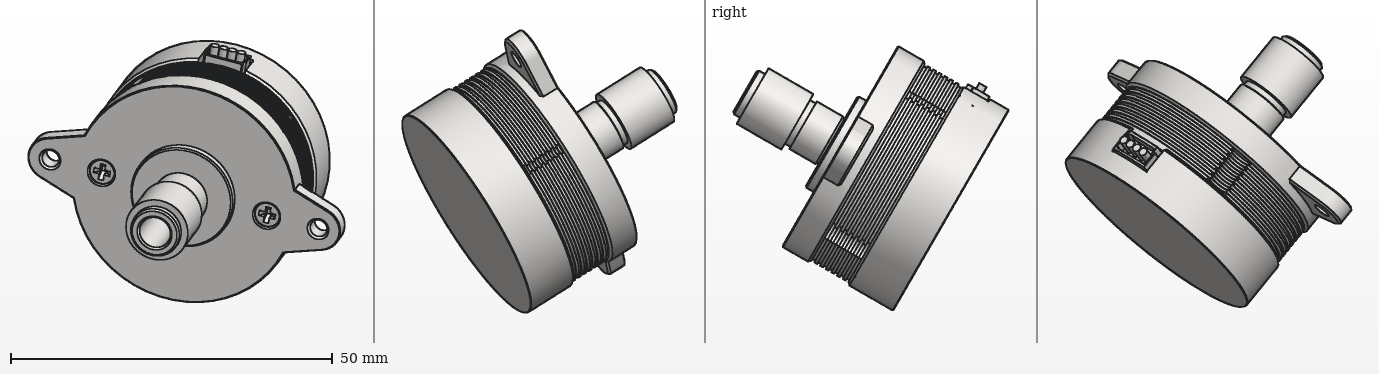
import cadquery as cq
import math

TILT_ANGLE = 60

AXIS_PLANE = cq.Plane((0, 0, 0), (0, 1, 0), (0, 0, 1))

CAP_RADIUS = 18.05
LAMINATION_RADIUS = 17.65
GROOVE_DEPTH = 0.3
CORE_RADIUS = LAMINATION_RADIUS - GROOVE_DEPTH
LAYER_COUNT = 13
LAYER_HEIGHT = 0.5
REAR_CAP_HEIGHT = 8.25
LAMINATION_HEIGHT = LAYER_COUNT * LAYER_HEIGHT
FLANGE_BACK = REAR_CAP_HEIGHT + LAMINATION_HEIGHT
FLANGE_FRONT = 19.95
JOINT_CHAMFER = CAP_RADIUS - LAMINATION_RADIUS
EDGE_CHAMFER = 0.15
REAR_EDGE_CHAMFER = 0.1

WIDE_RELIEF_RADIUS = 1.65
WIDE_RELIEF_OFFSET = 17.25
WIDE_RELIEF_ANGLE = 135
NARROW_RELIEF_RADIUS = 0.55
NARROW_RELIEF_OFFSET = LAMINATION_RADIUS
NARROW_RELIEF_ANGLE = 45

EAR_SPACING = 43.85
EAR_RADIUS = 3.55
EAR_FLANK_ANGLE = 19.3
EAR_THICKNESS = 3.1
EAR_BACK_CHAMFER = 0.35
EAR_HOLE_RADIUS = 1.4
EAR_HOLE_CHAMFER = 0.35

BOSS_RADIUS = 8.2
BOSS_HEIGHT = 1.55
BOSS_CHAMFER = 0.25

SCREW_SPACING = 27.05
SCREW_HEAD_RADIUS = 2.0
SCREW_HEAD_HEIGHT = 2.0
SCREW_HEAD_ROUND = 0.2
SCREW_RECESS = 0.3
SCREW_MOUTH_CHAMFER = 0.25
CROSS_LENGTH = 2.65
CROSS_WIDTH = 0.8
CROSS_TIP_LENGTH = 0.8
CROSS_DEPTH = 1.55

SHAFT_RADIUS = 4.3
SHAFT_BASE_CHAMFER = 0.4
SHAFT_NECK_RADIUS = SHAFT_RADIUS - SHAFT_BASE_CHAMFER
UNDERCUT_RADIUS = 3.95
PINION_RADIUS = 5.0
TIP_RADIUS = 3.95
TIP_CHAMFER = 0.3
BORE_RADIUS = 2.5
BORE_CHAMFER = 0.3
SHAFT_STEP = FLANGE_FRONT + BOSS_HEIGHT
SHAFT_END = 26.55
PINION_START = 27.6
PINION_END = 35.65
TIP_END = 37.05

POCKET_WIDTH = 7.65
POCKET_BACK = 3.4
POCKET_FRONT = 7.75
POCKET_FLOOR = 15.8

SOCKET_TOP = 18.35
SOCKET_BACK = 3.65
SOCKET_FRONT = 7.55
SOCKET_STEP = 6.55
SOCKET_WIDTH = 6.8
SOCKET_NOSE_WIDTH = 5.9
CAVITY_BACK = 4.1
CAVITY_FRONT = 7.05
CAVITY_WIDTH = 5.8
CAVITY_CHAMFER = 0.4
SIDE_SLOT_WIDTH = 6.25
SIDE_SLOT_BACK = 4.3
SIDE_SLOT_FRONT = 6.1
CAVITY_FLOOR = 16.3
PIN_COUNT = 4
PIN_PITCH = 1.45
PIN_RADIUS = 0.65
PIN_STATION = 5.45
PIN_TOP = 19.4


def disc(radius, bottom, top):
    """A cylinder on the motor axis between two stations."""
    return cq.Workplane(AXIS_PLANE).workplane(offset=bottom).circle(radius).extrude(top - bottom)


def block(width, floor, top, back, front):
    """A box centred on x = 0, from floor to top along y and back to front along z."""
    return cq.Workplane("XY").box(width, top - floor, front - back, centered=(True, False, False)).translate(
        (0, floor, back)
    )


def make_socket():
    """Connector socket: a wide shell with a narrower nose and a chamfered cavity."""
    shell = block(SOCKET_WIDTH, POCKET_FLOOR, SOCKET_TOP, SOCKET_BACK, SOCKET_STEP)
    nose = block(SOCKET_NOSE_WIDTH, POCKET_FLOOR, SOCKET_TOP, SOCKET_STEP, SOCKET_FRONT)
    cavity = block(CAVITY_WIDTH, CAVITY_FLOOR, SOCKET_TOP, CAVITY_BACK, CAVITY_FRONT)
    cavity = cavity.faces(">Z").edges("|Y").chamfer(CAVITY_CHAMFER)
    side_slots = block(SIDE_SLOT_WIDTH, CAVITY_FLOOR, SOCKET_TOP, SIDE_SLOT_BACK, SIDE_SLOT_FRONT)
    return shell.union(nose).cut(cavity).cut(side_slots)


def make_rear_cap():
    """Rear cap: a recess for the lamination spigot, and a pocket with the connector socket."""
    cap = disc(CAP_RADIUS, 0, REAR_CAP_HEIGHT)
    cap = cap.faces(">Z").chamfer(JOINT_CHAMFER).faces("<Z").chamfer(REAR_EDGE_CHAMFER)
    pocket = block(POCKET_WIDTH, POCKET_FLOOR, SOCKET_TOP, POCKET_BACK, POCKET_FRONT)
    rim_opening = block(POCKET_WIDTH, POCKET_FLOOR, SOCKET_TOP, POCKET_FRONT, REAR_CAP_HEIGHT)
    spigot_recess = disc(CORE_RADIUS, POCKET_FRONT, REAR_CAP_HEIGHT)
    return cap.cut(pocket).cut(rim_opening).cut(spigot_recess).union(make_socket())


def make_pins():
    """Round connector pins standing on the cavity floor."""
    pins = []
    for index in range(PIN_COUNT):
        x = (index - (PIN_COUNT - 1) / 2) * PIN_PITCH
        plane = cq.Plane((x, CAVITY_FLOOR, PIN_STATION), (1, 0, 0), (0, 1, 0))
        pins.append(cq.Workplane(plane).circle(PIN_RADIUS).extrude(PIN_TOP - CAVITY_FLOOR))
    return pins


def relief_pair(radius, offset, start_angle, bottom):
    """Cutting tool for two opposite reliefs in one lamination sheet."""
    return (
        cq.Workplane("XY")
        .workplane(offset=bottom)
        .polarArray(offset, start_angle, 360, 2)
        .circle(radius)
        .extrude(LAYER_HEIGHT)
    )


def make_sheet(inset, bottom):
    """One lamination sheet with its reliefs, its outline moved inward by the inset."""
    wide = relief_pair(WIDE_RELIEF_RADIUS + inset, WIDE_RELIEF_OFFSET, WIDE_RELIEF_ANGLE, bottom)
    narrow = relief_pair(NARROW_RELIEF_RADIUS + inset, NARROW_RELIEF_OFFSET, NARROW_RELIEF_ANGLE, bottom)
    return disc(LAMINATION_RADIUS - inset, bottom, bottom + LAYER_HEIGHT).cut(wide).cut(narrow)


def make_laminations():
    """Lamination stack: every other sheet is inset, above a spigot in the rear cap."""
    stack = disc(CORE_RADIUS, POCKET_FRONT, REAR_CAP_HEIGHT)
    for layer in range(LAYER_COUNT):
        bottom = REAR_CAP_HEIGHT + layer * LAYER_HEIGHT
        inset = GROOVE_DEPTH if layer % 2 == 0 else 0
        stack = stack.union(make_sheet(inset, bottom))
    return stack


def ear_plate():
    """Both mounting ears as one plate that tapers from its middle to the rounded ends."""
    angle = math.radians(EAR_FLANK_ANGLE)
    end_x = EAR_SPACING / 2
    tangent_x = end_x + EAR_RADIUS * math.sin(angle)
    tangent_y = EAR_RADIUS * math.cos(angle)
    middle_y = tangent_y + tangent_x * math.tan(angle)
    tip_x = end_x + EAR_RADIUS
    return (
        cq.Workplane("XY")
        .workplane(offset=FLANGE_FRONT - EAR_THICKNESS)
        .moveTo(0, middle_y)
        .lineTo(tangent_x, tangent_y)
        .threePointArc((tip_x, 0), (tangent_x, -tangent_y))
        .lineTo(0, -middle_y)
        .lineTo(-tangent_x, -tangent_y)
        .threePointArc((-tip_x, 0), (-tangent_x, tangent_y))
        .close()
        .extrude(EAR_THICKNESS)
        .faces("<Z")
        .chamfer(EAR_BACK_CHAMFER)
        .faces(">Z")
        .chamfer(EDGE_CHAMFER)
    )


def chamfered_hole(x, radius, chamfer, bottom):
    """Cutting tool for a hole from the flange front down to a station, with a chamfered mouth."""
    return (
        cq.Workplane("XZ")
        .polyline(
            [
                (0, bottom),
                (radius, bottom),
                (radius, FLANGE_FRONT - chamfer),
                (radius + chamfer, FLANGE_FRONT),
                (0, FLANGE_FRONT),
            ]
        )
        .close()
        .revolve(360, (0, 0, 0), (0, 1, 0))
        .translate((x, 0, 0))
    )


def make_front_cap():
    """Front cap: flange disc, ears, pilot boss, and all its holes."""
    flange = disc(CAP_RADIUS, FLANGE_BACK, FLANGE_FRONT)
    flange = flange.faces("<Z").chamfer(JOINT_CHAMFER).faces(">Z").chamfer(EDGE_CHAMFER)
    cap = flange.union(ear_plate())
    boss = disc(BOSS_RADIUS, FLANGE_FRONT, SHAFT_STEP).faces(">Z").chamfer(BOSS_CHAMFER)
    cap = cap.union(boss).cut(disc(SHAFT_NECK_RADIUS, FLANGE_BACK, SHAFT_STEP))
    seat_bottom = FLANGE_FRONT - SCREW_RECESS - SCREW_HEAD_HEIGHT
    for side in (-1, 1):
        cap = cap.cut(chamfered_hole(side * EAR_SPACING / 2, EAR_HOLE_RADIUS, EAR_HOLE_CHAMFER, FLANGE_BACK))
        cap = cap.cut(
            chamfered_hole(side * SCREW_SPACING / 2, SCREW_HEAD_RADIUS, SCREW_MOUTH_CHAMFER, seat_bottom)
        )
    return cap


def make_screw(x):
    """Screw head with a rounded rim and a tapered cross recess."""
    top = FLANGE_FRONT - SCREW_RECESS
    head = disc(SCREW_HEAD_RADIUS, top - SCREW_HEAD_HEIGHT, top).faces(">Z").fillet(SCREW_HEAD_ROUND)
    bar = (
        cq.Workplane("XZ")
        .polyline(
            [
                (-CROSS_LENGTH / 2, top),
                (CROSS_LENGTH / 2, top),
                (CROSS_TIP_LENGTH / 2, top - CROSS_DEPTH),
                (-CROSS_TIP_LENGTH / 2, top - CROSS_DEPTH),
            ]
        )
        .close()
        .extrude(CROSS_WIDTH / 2, both=True)
    )
    cross = bar.union(bar.rotate((0, 0, 0), (0, 0, 1), 90))
    return head.cut(cross).translate((x, 0, 0))


def make_shaft():
    """Hollow shaft and pinion blank as one turned profile (radius, station)."""
    return (
        cq.Workplane("XZ")
        .polyline(
            [
                (BORE_RADIUS, FLANGE_BACK),
                (SHAFT_NECK_RADIUS, FLANGE_BACK),
                (SHAFT_NECK_RADIUS, SHAFT_STEP),
                (SHAFT_RADIUS, SHAFT_STEP + SHAFT_BASE_CHAMFER),
                (SHAFT_RADIUS, SHAFT_END),
                (UNDERCUT_RADIUS, SHAFT_END),
                (UNDERCUT_RADIUS, PINION_START),
                (PINION_RADIUS, PINION_START),
                (PINION_RADIUS, PINION_END),
                (TIP_RADIUS, PINION_END),
                (TIP_RADIUS, TIP_END - TIP_CHAMFER),
                (TIP_RADIUS - TIP_CHAMFER, TIP_END),
                (BORE_RADIUS + BORE_CHAMFER, TIP_END),
                (BORE_RADIUS, TIP_END - BORE_CHAMFER),
            ]
        )
        .close()
        .revolve(360, (0, 0, 0), (0, 1, 0))
    )


rear_cap = make_rear_cap()
laminations = make_laminations()
front_cap = make_front_cap()
shaft = make_shaft()
screws = [make_screw(side * SCREW_SPACING / 2) for side in (-1, 1)]
pins = make_pins()

bodies = [rear_cap, laminations, front_cap, shaft, *screws, *pins]
result = cq.Compound.makeCompound(
    [body.rotate((0, 0, 0), (1, 0, 0), TILT_ANGLE).val() for body in bodies]
)